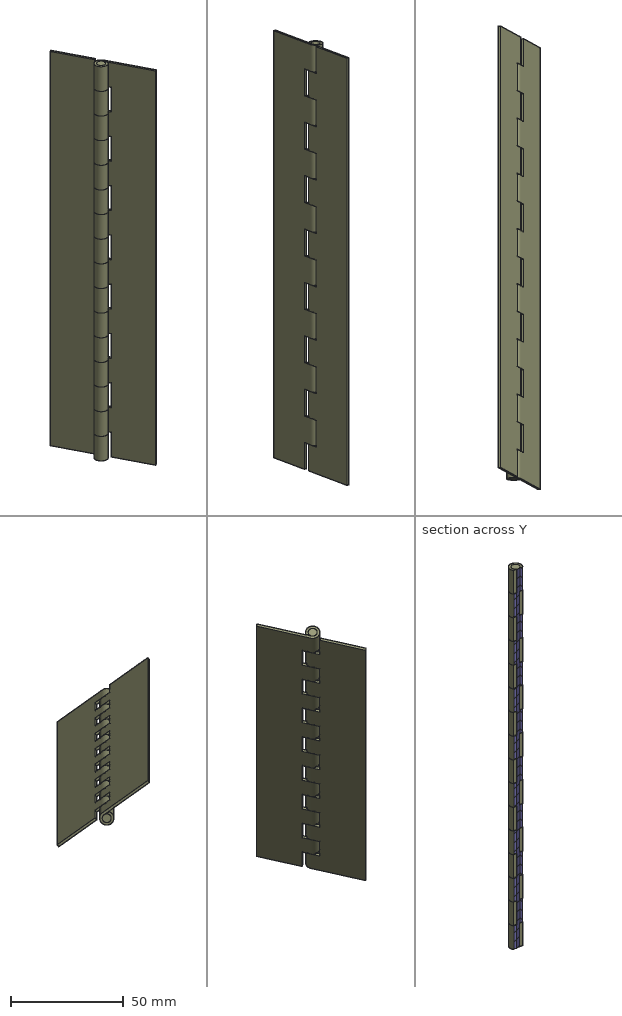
import cadquery as cq

hinge_length = 200.0
hinge_width = 50.0
sheet_thickness = 1.2
knuckle_diameter = 6.5
knuckle_count = 16
notch_half_width = 4.0
curl_gap = 0.2

knuckle_radius = knuckle_diameter / 2
pin_radius = knuckle_radius - sheet_thickness
knuckle_length = hinge_length / knuckle_count
leaf_reach = hinge_width / 2
leaf_front = knuckle_radius - sheet_thickness
LEFT, RIGHT = -1, 1


def make_plate(side, inner_edge, length):
    """Flat sheet from inner_edge out to the hinge's outer edge, flush with the back of the knuckles."""
    width = leaf_reach - inner_edge
    center_x = side * (inner_edge + width / 2)
    return (
        cq.Workplane("XY")
        .center(center_x, leaf_front + sheet_thickness / 2)
        .rect(width, sheet_thickness)
        .extrude(length)
    )


def make_knuckle(side):
    """Strip of sheet and the curl it runs into, which rolls around and stops just short of the strip."""
    curl = cq.Workplane("XY").circle(knuckle_radius).extrude(knuckle_length)
    gap = (
        cq.Workplane("XY")
        .center(side * knuckle_radius / 2, leaf_front - curl_gap / 2)
        .rect(knuckle_radius, curl_gap)
        .extrude(knuckle_length)
    )
    pin_hole = cq.Workplane("XY").circle(pin_radius).extrude(knuckle_length)
    strip = make_plate(side, 0, knuckle_length)
    return curl.cut(gap).union(strip).cut(pin_hole)


def make_leaf(side, first_knuckle):
    """A leaf with every second knuckle, notched where the other leaf's knuckles sit."""
    leaf = make_plate(side, notch_half_width, hinge_length)
    knuckle = make_knuckle(side)
    for index in range(first_knuckle, knuckle_count, 2):
        leaf = leaf.union(knuckle.translate((0, 0, index * knuckle_length)))
    return leaf.clean()


def make_pin():
    """Plain round pin that fills the knuckles over the whole hinge length."""
    return cq.Workplane("XY").circle(pin_radius).extrude(hinge_length)


left_leaf = make_leaf(LEFT, first_knuckle=0)
right_leaf = make_leaf(RIGHT, first_knuckle=1)
pin = make_pin()

result = cq.Compound.makeCompound([left_leaf.val(), right_leaf.val(), pin.val()])